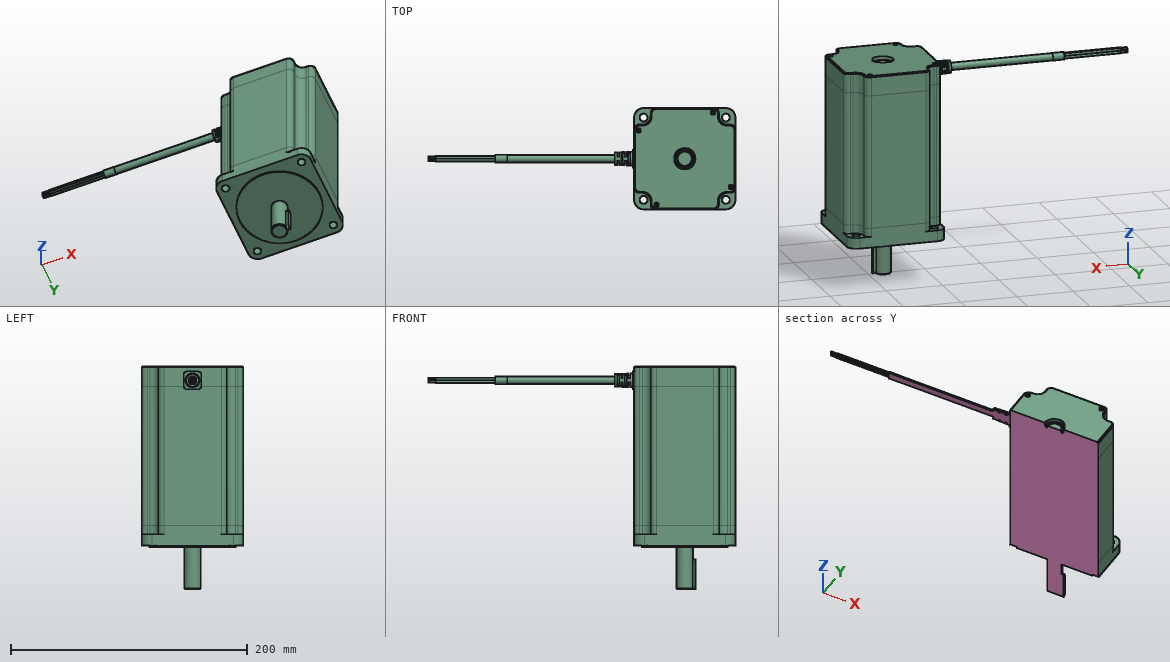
import cadquery as cq
import math


HOUSING_SIDE = 86.0
HALF_SIDE = HOUSING_SIDE / 2
MOTOR_HEIGHT = 151.5
FLANGE_THICKNESS = 9.5
FRONT_COVER_HEIGHT = 17.5
REAR_COVER_HEIGHT = 17.0
STATOR_HEIGHT = MOTOR_HEIGHT - FRONT_COVER_HEIGHT - REAR_COVER_HEIGHT
FLANGE_CORNER_RADIUS = 8.5
MOUNT_HOLE_SPACING = 69.5
MOUNT_HOLE_DIAMETER = 6.5
PILOT_DIAMETER = 73.0
PILOT_HEIGHT = 1.3
TOP_CHAMFER = 1.0

NOTCH_DEPTH = 14.0
NOTCH_INNER_RADIUS = 7.0
NOTCH_EDGE_RADIUS = 4.7

RECESS_DIAMETER = 18.2
RECESS_DEPTH = 3.0
SHAFT_BORE_DIAMETER = 15.5
SHAFT_BORE_DEPTH = 4.7
SCREW_LONG_OFFSET = 39.0
SCREW_SHORT_OFFSET = 24.0
SCREW_HEAD_DIAMETER = 4.0
SCREW_HEAD_DEPTH = 0.8
SOCKET_DIAMETER = 1.8
SOCKET_DEPTH = 1.3

SHAFT_DIAMETER = 14.0
SHAFT_RADIUS = SHAFT_DIAMETER / 2
SHAFT_LENGTH = 36.8
SHAFT_TIP_CHAMFER = 0.8
SHAFT_TOP_CHAMFER = 1.0
SHAFT_TOP_BELOW_COVER = 2.3
KEY_WIDTH = 5.0
KEY_LENGTH = 25.2
KEY_TOP_FROM_AXIS = 9.0

CABLE_Z = MOTOR_HEIGHT - 12.0
TOTAL_LENGTH = 259.5
CABLE_END_X = HALF_SIDE - TOTAL_LENGTH
PLATE_SIDE = 15.0
PLATE_THICKNESS = 0.8
PLATE_CORNER_RADIUS = 2.9
GLAND_LENGTH = 15.5
GLAND_BASE_RADIUS = 6.0
GLAND_TIP_RADIUS = 5.5
GLAND_CORE_RADIUS = 4.5
GLAND_SLOT_COUNT = 4
GLAND_SLOT_PITCH = 3.0
GLAND_SLOT_WIDTH = 1.5
GLAND_FIRST_SLOT = 2.3
GLAND_WEB_WIDTH = 3.0
JACKET_RADIUS = 3.25
SLEEVE_RADIUS = 3.5
SLEEVE_LENGTH = 10.0
WIRE_RADIUS = 1.2
WIRE_SPACING = 2.3
WIRE_LENGTH = 50.0
WIRE_TIP_RADIUS = 0.9
WIRE_TIP_LENGTH = 6.2


def quarter_turned(point, quarters):
    """Point turned about Z by a number of quarter turns."""
    x, y = point
    for _ in range(quarters):
        x, y = -y, x
    return (x, y)


def housing_profile(z_bottom):
    """Square outline with a rounded notch in each corner: one side and corner, repeated four times."""
    wall = HALF_SIDE - NOTCH_DEPTH
    inner_center = wall + NOTCH_INNER_RADIUS
    inner_mid = inner_center - NOTCH_INNER_RADIUS * math.sqrt(0.5)
    side_end = wall - NOTCH_EDGE_RADIUS
    edge_level = HALF_SIDE - NOTCH_EDGE_RADIUS
    edge_mid_along = side_end + NOTCH_EDGE_RADIUS * math.sqrt(0.5)
    edge_mid_out = edge_level + NOTCH_EDGE_RADIUS * math.sqrt(0.5)

    outline = cq.Workplane("XY", origin=(0, 0, z_bottom)).moveTo(HALF_SIDE, -side_end)
    for quarter in range(4):
        side_stop = quarter_turned((HALF_SIDE, side_end), quarter)
        first_edge_mid = quarter_turned((edge_mid_out, edge_mid_along), quarter)
        first_wall_start = quarter_turned((edge_level, wall), quarter)
        first_wall_end = quarter_turned((inner_center, wall), quarter)
        inner_arc_mid = quarter_turned((inner_mid, inner_mid), quarter)
        second_wall_start = quarter_turned((wall, inner_center), quarter)
        second_wall_end = quarter_turned((wall, edge_level), quarter)
        second_edge_mid = quarter_turned((edge_mid_along, edge_mid_out), quarter)
        next_side_start = quarter_turned((side_end, HALF_SIDE), quarter)
        outline = (
            outline.lineTo(*side_stop)
            .threePointArc(first_edge_mid, first_wall_start)
            .lineTo(*first_wall_end)
            .threePointArc(inner_arc_mid, second_wall_start)
            .lineTo(*second_wall_end)
            .threePointArc(second_edge_mid, next_side_start)
        )
    return outline.close()


def make_front_cover():
    """Square mounting flange with its pilot, under the notched foot of the housing."""
    flange = (
        cq.Workplane("XY")
        .rect(HOUSING_SIDE, HOUSING_SIDE)
        .extrude(FLANGE_THICKNESS)
        .edges("|Z")
        .fillet(FLANGE_CORNER_RADIUS)
        .faces(">Z")
        .workplane()
        .rect(MOUNT_HOLE_SPACING, MOUNT_HOLE_SPACING, forConstruction=True)
        .vertices()
        .hole(MOUNT_HOLE_DIAMETER)
    )
    pilot = cq.Workplane("XY").circle(PILOT_DIAMETER / 2).extrude(-PILOT_HEIGHT)
    foot = housing_profile(0).extrude(FRONT_COVER_HEIGHT)
    return flange.union(foot).union(pilot)


def make_stator():
    return housing_profile(FRONT_COVER_HEIGHT).extrude(STATOR_HEIGHT)


def make_rear_cover():
    """Chamfered cap with a stepped recess around the shaft end and four sunken screw heads."""
    screw_points = [
        (SCREW_SHORT_OFFSET, SCREW_LONG_OFFSET),
        (-SCREW_LONG_OFFSET, SCREW_SHORT_OFFSET),
        (-SCREW_SHORT_OFFSET, -SCREW_LONG_OFFSET),
        (SCREW_LONG_OFFSET, -SCREW_SHORT_OFFSET),
    ]
    cover = (
        housing_profile(MOTOR_HEIGHT - REAR_COVER_HEIGHT)
        .extrude(REAR_COVER_HEIGHT)
        .faces(">Z")
        .chamfer(TOP_CHAMFER)
    )
    top_plane = cq.Workplane("XY", origin=(0, 0, MOTOR_HEIGHT))
    cover = cover.cut(top_plane.circle(RECESS_DIAMETER / 2).extrude(-RECESS_DEPTH))
    cover = cover.cut(top_plane.circle(SHAFT_BORE_DIAMETER / 2).extrude(-SHAFT_BORE_DEPTH))
    screws = top_plane.pushPoints(screw_points)
    cover = cover.cut(screws.circle(SCREW_HEAD_DIAMETER / 2).extrude(-SCREW_HEAD_DEPTH))
    return cover.cut(screws.circle(SOCKET_DIAMETER / 2).extrude(-SOCKET_DEPTH))


def make_shaft():
    """Shaft from its lower tip up into the rear recess, chamfered at both ends."""
    total_length = SHAFT_LENGTH + MOTOR_HEIGHT - SHAFT_TOP_BELOW_COVER
    return (
        cq.Workplane("XY", origin=(0, 0, -SHAFT_LENGTH))
        .circle(SHAFT_RADIUS)
        .extrude(total_length)
        .faces("<Z")
        .chamfer(SHAFT_TIP_CHAMFER)
        .faces(">Z")
        .chamfer(SHAFT_TOP_CHAMFER)
    )


def make_key():
    """Round-ended key on the +X side, ending level with the shaft tip."""
    return (
        cq.Workplane("YZ")
        .center(0, -SHAFT_LENGTH + KEY_LENGTH / 2)
        .slot2D(KEY_LENGTH, KEY_WIDTH, 90)
        .extrude(KEY_TOP_FROM_AXIS)
    )


def make_motor():
    """Covers, stator, shaft and key in one piece; the flush joints stay as edges between the faces."""
    motor = make_front_cover()
    for piece in (make_stator(), make_rear_cover(), make_shaft(), make_key()):
        motor = motor.union(piece, clean=False)
    return motor


def rod(x_start, x_end, radius, y=0, z=CABLE_Z):
    """Round bar along X."""
    return cq.Workplane("YZ", origin=(x_start, y, z)).circle(radius).extrude(x_end - x_start)


def make_gland(x_base, x_tip):
    """Tapered strain relief with slots that alternate between top/bottom and the two sides."""
    gland = (
        cq.Workplane("XY", origin=(0, 0, CABLE_Z))
        .polyline([(x_base, 0), (x_base, GLAND_BASE_RADIUS), (x_tip, GLAND_TIP_RADIUS), (x_tip, 0)])
        .close()
        .revolve(360, (0, 0, 0), (1, 0, 0))
    )
    for index in range(GLAND_SLOT_COUNT):
        slot_end = x_base - GLAND_FIRST_SLOT - index * GLAND_SLOT_PITCH
        slot_start = slot_end - GLAND_SLOT_WIDTH
        slot = rod(slot_start, slot_end, PLATE_SIDE / 2).cut(rod(slot_start, slot_end, GLAND_CORE_RADIUS))
        web_size = (PLATE_SIDE, GLAND_WEB_WIDTH) if index % 2 == 0 else (GLAND_WEB_WIDTH, PLATE_SIDE)
        web = cq.Workplane("YZ", origin=(slot_start, 0, CABLE_Z)).rect(*web_size).extrude(GLAND_SLOT_WIDTH)
        gland = gland.cut(slot.cut(web))
    return gland


def make_cable():
    """Wall plate, strain relief, jacket, end sleeve and four stripped wires in one piece."""
    plate_x = -HALF_SIDE - PLATE_THICKNESS
    gland_tip_x = plate_x - GLAND_LENGTH
    wire_start_x = CABLE_END_X + WIRE_TIP_LENGTH
    sleeve_x = wire_start_x + WIRE_LENGTH
    jacket_x = sleeve_x + SLEEVE_LENGTH

    plate = (
        cq.Workplane("YZ", origin=(plate_x, 0, CABLE_Z))
        .rect(PLATE_SIDE, PLATE_SIDE)
        .extrude(PLATE_THICKNESS)
        .edges("|X")
        .fillet(PLATE_CORNER_RADIUS)
    )
    cable = plate.union(make_gland(plate_x, gland_tip_x))
    cable = cable.union(rod(jacket_x, gland_tip_x, JACKET_RADIUS))
    cable = cable.union(rod(sleeve_x, jacket_x, SLEEVE_RADIUS))
    for side_y in (-1, 1):
        for side_z in (-1, 1):
            wire_y = side_y * WIRE_SPACING / 2
            wire_z = CABLE_Z + side_z * WIRE_SPACING / 2
            cable = cable.union(rod(wire_start_x, sleeve_x, WIRE_RADIUS, wire_y, wire_z))
            cable = cable.union(rod(CABLE_END_X, wire_start_x, WIRE_TIP_RADIUS, wire_y, wire_z))
    return cable


motor = make_motor().solids()
cable = make_cable().solids()

result = cq.Compound.makeCompound([motor.val(), cable.val()])